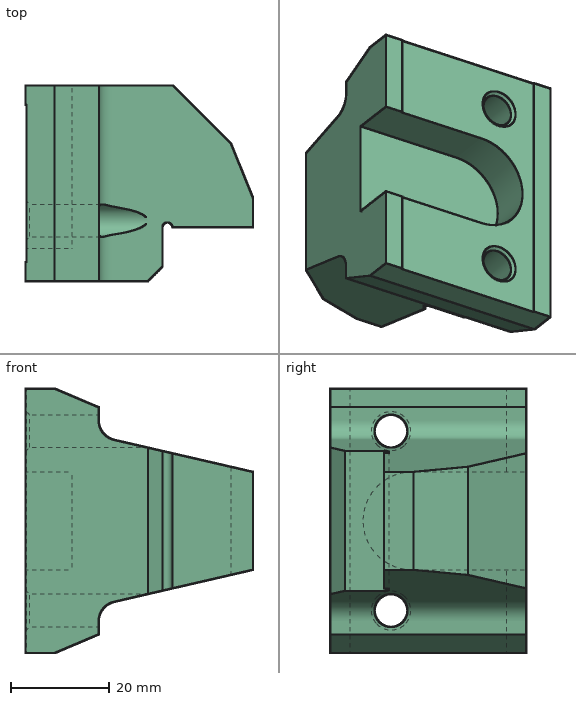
import cadquery as cq
import math

LENGTH = 46.5
HEIGHT = 40.0
HALF_WIDTH = 27.0

FLANGE_DEPTH = 15.0
FLANGE_SQUARE_DEPTH = 6.0
FLANGE_BEVEL_ANGLE = 23.0
NOSE_HALF_WIDTH = 10.0
NECK_TAPER_ANGLE = 13.0
NECK_FILLET = 4.0
SELECT_MARGIN = 0.5

STEP_X = 28.0
STEP_Y = 11.0
STEP_CHAMFER = 3.0
UNDERCUT_RADIUS = 1.0
SLOPE_START_X = 30.1
SLOPE_KNEE_X = 42.0
NOSE_TOP_Y = 17.0

LAND_HEIGHT = 4.0
RELIEF_DEPTH = 0.2

SLOT_RADIUS = 10.0
SLOT_CENTER_Y = 16.7
SLOT_DEPTH = 9.5

HOLE_DIAMETER = 6.65
HOLE_RIM_DIAMETER = 8.0
HOLE_Y = 12.4
HOLE_OFFSET_Z = 18.3


def tee_body():
    """Tee plan extruded over the full height, symmetric about Z = 0."""
    bevel_drop = (FLANGE_DEPTH - FLANGE_SQUARE_DEPTH) * math.tan(math.radians(FLANGE_BEVEL_ANGLE))
    flange_edge_z = HALF_WIDTH - bevel_drop
    taper_rise = (LENGTH - FLANGE_DEPTH) * math.tan(math.radians(NECK_TAPER_ANGLE))
    neck_root_z = NOSE_HALF_WIDTH + taper_rise
    upper_half = [
        (0, HALF_WIDTH),
        (FLANGE_SQUARE_DEPTH, HALF_WIDTH),
        (FLANGE_DEPTH, flange_edge_z),
        (FLANGE_DEPTH, neck_root_z),
        (LENGTH, NOSE_HALF_WIDTH),
    ]
    lower_half = [(x, -z) for x, z in reversed(upper_half)]
    body = cq.Workplane("XZ").polyline(upper_half + lower_half).close().extrude(-HEIGHT)
    neck_root_edges = cq.selectors.BoxSelector(
        (FLANGE_DEPTH - SELECT_MARGIN, 0, -neck_root_z - SELECT_MARGIN),
        (FLANGE_DEPTH + SELECT_MARGIN, HEIGHT, neck_root_z + SELECT_MARGIN),
    )
    return body.edges("|Y").edges(neck_root_edges).fillet(NECK_FILLET)


def side_profile():
    """Side outline, with the undercut in the step corner, extruded over the full width."""
    slope_drop = SLOPE_KNEE_X - SLOPE_START_X
    undercut_x = STEP_X + UNDERCUT_RADIUS
    return (
        cq.Workplane("XY")
        .moveTo(0, 0)
        .lineTo(STEP_X - STEP_CHAMFER, 0)
        .lineTo(STEP_X, STEP_CHAMFER)
        .lineTo(STEP_X, STEP_Y)
        .threePointArc(
            (undercut_x, STEP_Y + UNDERCUT_RADIUS),
            (undercut_x + UNDERCUT_RADIUS, STEP_Y),
        )
        .lineTo(LENGTH, STEP_Y)
        .lineTo(LENGTH, NOSE_TOP_Y)
        .lineTo(SLOPE_KNEE_X, HEIGHT - slope_drop)
        .lineTo(SLOPE_START_X, HEIGHT)
        .lineTo(0, HEIGHT)
        .close()
        .extrude(HALF_WIDTH, both=True)
    )


def face_relief():
    """Thin slab removed from the mounting face between the two lands."""
    return cq.Workplane("XY").box(
        RELIEF_DEPTH, HEIGHT - 2 * LAND_HEIGHT, 2 * HALF_WIDTH, centered=(False, False, True)
    ).translate((0, LAND_HEIGHT, 0))


def slot():
    """Slot with a half-round lower end, running out through the top."""
    return (
        cq.Workplane("YZ")
        .moveTo(HEIGHT, SLOT_RADIUS)
        .lineTo(SLOT_CENTER_Y, SLOT_RADIUS)
        .threePointArc((SLOT_CENTER_Y - SLOT_RADIUS, 0), (SLOT_CENTER_Y, -SLOT_RADIUS))
        .lineTo(HEIGHT, -SLOT_RADIUS)
        .close()
        .extrude(SLOT_DEPTH)
    )


def screw_hole(z):
    """Through hole along X with a 45 degree countersink starting at the relieved face."""
    hole_radius = HOLE_DIAMETER / 2
    rim_radius = HOLE_RIM_DIAMETER / 2
    bore = cq.Solid.makeCylinder(hole_radius, LENGTH, cq.Vector(0, HOLE_Y, z), cq.Vector(1, 0, 0))
    countersink = cq.Solid.makeCone(
        rim_radius,
        hole_radius,
        rim_radius - hole_radius,
        cq.Vector(RELIEF_DEPTH, HOLE_Y, z),
        cq.Vector(1, 0, 0),
    )
    return cq.Workplane(bore.fuse(countersink))


result = tee_body().intersect(side_profile()).cut(face_relief()).cut(slot())
for hole_z in (HOLE_OFFSET_Z, -HOLE_OFFSET_Z):
    result = result.cut(screw_hole(hole_z))